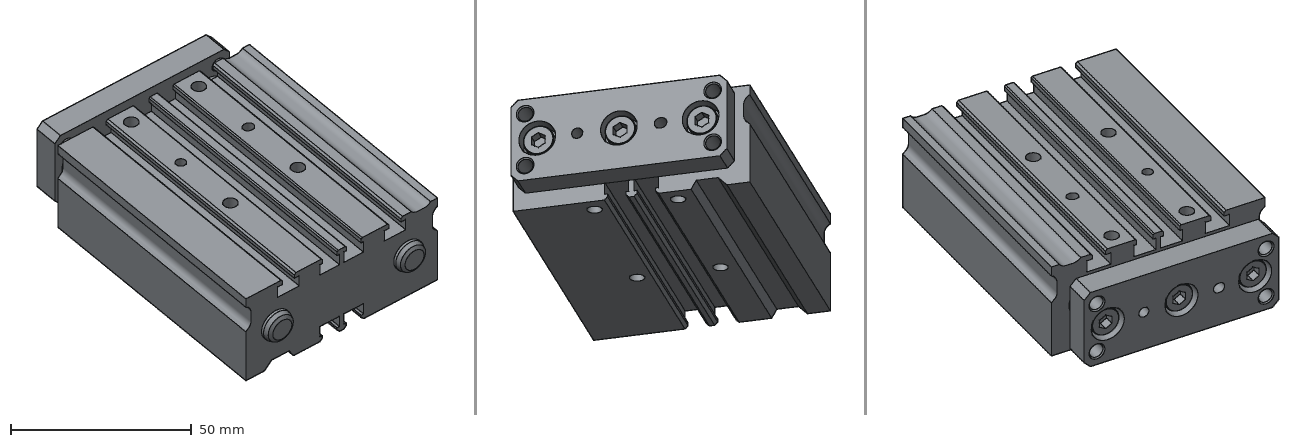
import cadquery as cq
import math


total_length = 99.0
plate_thickness = 7.9
rod_gap = 5.0
rear_stub = 3.0
housing_width = 68.0
housing_height = 30.0
housing_front = plate_thickness + rod_gap
housing_length = total_length - housing_front - rear_stub
housing_top = housing_height / 2
housing_side = housing_width / 2

guide_diameter = 10.0
guide_offset = 23.5
guide_end_flat_radius = 3.4
guide_end_shoulder_radius = 4.5
guide_end_shoulder_inset = 0.7
guide_end_length = 2.1
piston_diameter = 8.0
piston_depth = housing_length / 2
stud_diameter = 5.0
head_diameter = 8.7
head_chamfer = 0.2
head_recess = 1.2
hex_across_flats = 4.0
hex_depth = 3.0

plate_width = 62.0
plate_height = 24.9
plate_chamfer = 2.0
counterbore_diameter = 10.5
counterbore_depth = 5.0
corner_hole_diameter = 4.3
corner_hole_chamfer = 0.4
corner_hole_offset_y = 26.9
corner_hole_offset_z = 8.0

mount_offset = 12.0
pin_diameter = 3.2
pin_slot_extra = 0.4
pin_depth = 4.0
bolt_diameter = 4.3
bolt_inset = 5.0
bolt_pitch = 43.8

slot_depth = 5.5
slot_lip = 1.8
inner_slot_offset = 4.3
inner_slot_opening = 5.2
inner_slot_width = 6.9
inner_slot_chamfer = 0.4
bottom_slot_chamfer = 0.9
outer_slot_offset = 18.9
outer_slot_opening = 4.2
outer_slot_width = 7.6
outer_slot_chamfer = 0.6

side_groove_inset = 3.1
side_groove_depth = 1.8
side_groove_entry = 2.8
side_groove_floor = 3.5
side_groove_exit = 2.0
side_groove_lip_run = 0.8
side_groove_lip_depth = 0.8

top_groove_inset = 2.5
top_groove_depth = 1.1
top_groove_entry = 2.3
top_groove_floor = 2.1
top_groove_exit = 2.2
top_groove_lip_run = 0.3
top_groove_lip_depth = 0.3

bottom_groove_depth = 2.6
bottom_groove_start = -17.1
bottom_groove_end = -27.4
bottom_groove_steep_run = 1.5
bottom_groove_flat_run = 2.6


def x_cylinder(diameter, start, end, y=0.0, z=0.0):
    """Cylinder along X from `start` to `end`."""
    return (
        cq.Workplane("YZ", origin=(start, 0, 0))
        .center(y, z)
        .circle(diameter / 2)
        .extrude(end - start)
    )


def along_housing(outline):
    """Extrude a closed (Y, Z) outline over the housing length."""
    return outline.extrude(housing_length)


def housing_section():
    return cq.Workplane("YZ", origin=(housing_front, 0, 0))


def t_slot(offset, opening, width, chamfer):
    """T-slot cut from the housing top, with chamfered lips."""
    half_section = [
        (opening / 2 + chamfer, housing_top),
        (opening / 2, housing_top - chamfer),
        (opening / 2, housing_top - slot_lip),
        (width / 2, housing_top - slot_lip),
        (width / 2, housing_top - slot_depth),
    ]
    points = [(offset + y, z) for y, z in half_section]
    points += [(offset - y, z) for y, z in reversed(half_section)]
    return along_housing(housing_section().polyline(points).close())


def arc_middle(run, rise):
    """Middle of an arc that leaves the origin flat and ends at (run, rise)."""
    radius = (run**2 + rise**2) / (2 * rise)
    half_angle = math.asin(run / radius) / 2
    return radius * math.sin(half_angle), radius * (1 - math.cos(half_angle))


def rounded_groove(depth, entry, floor, exit_run, lip_run, lip_depth, place):
    """Groove with an arc on both sides of a flat floor and a bevel after the second arc.

    `place` turns (distance along the surface, depth below it) into (Y, Z).
    """
    floor_end = entry + floor
    exit_end = floor_end + exit_run
    entry_run, entry_rise = arc_middle(entry, depth)
    leave_run, leave_rise = arc_middle(exit_run, depth - lip_depth)
    outline = (
        housing_section()
        .moveTo(*place(0, 0))
        .threePointArc(place(entry - entry_run, depth - entry_rise), place(entry, depth))
        .lineTo(*place(floor_end, depth))
        .threePointArc(place(floor_end + leave_run, depth - leave_rise), place(exit_end, lip_depth))
        .lineTo(*place(exit_end + lip_run, 0))
        .close()
    )
    return along_housing(outline)


def side_groove():
    """Groove in the -Y side, running down from the entry arc to the bevel."""
    return rounded_groove(
        side_groove_depth,
        side_groove_entry,
        side_groove_floor,
        side_groove_exit,
        side_groove_lip_run,
        side_groove_lip_depth,
        lambda along, depth: (depth - housing_side, housing_top - side_groove_inset - along),
    )


def top_groove():
    """Groove in the top near the +Y side, running inward from the entry arc to the bevel."""
    return rounded_groove(
        top_groove_depth,
        top_groove_entry,
        top_groove_floor,
        top_groove_exit,
        top_groove_lip_run,
        top_groove_lip_depth,
        lambda along, depth: (housing_side - top_groove_inset - along, housing_top - depth),
    )


def bottom_groove():
    """Tapered groove in the bottom near the -Y side."""
    floor_z = bottom_groove_depth - housing_top
    points = [
        (bottom_groove_start, -housing_top),
        (bottom_groove_start - bottom_groove_steep_run, floor_z),
        (bottom_groove_end + bottom_groove_flat_run, floor_z),
        (bottom_groove_end, -housing_top),
    ]
    return along_housing(housing_section().polyline(points).close())


def mounting_holes():
    """Four bolt holes through the housing and two pin holes in its top."""
    bolt_front = housing_front + bolt_inset
    pin_x = bolt_front + bolt_pitch / 2
    bolts = (
        cq.Workplane("XY", origin=(pin_x, 0, -housing_top))
        .rect(bolt_pitch, 2 * mount_offset, forConstruction=True)
        .vertices()
        .circle(bolt_diameter / 2)
        .extrude(housing_height)
    )
    pin_plane = cq.Workplane("XY", origin=(pin_x, 0, housing_top))
    round_pin = pin_plane.center(0, -mount_offset).circle(pin_diameter / 2).extrude(-pin_depth)
    slotted_pin = (
        pin_plane.center(0, mount_offset)
        .slot2D(pin_diameter + pin_slot_extra, pin_diameter, 90)
        .extrude(-pin_depth)
    )
    return bolts.union(round_pin).union(slotted_pin)


def make_housing():
    body = along_housing(housing_section().rect(housing_width, housing_height))
    for side in (-1, 1):
        inner = side * inner_slot_offset
        body = body.cut(t_slot(inner, inner_slot_opening, inner_slot_width, inner_slot_chamfer))
        bottom_slot = t_slot(inner, inner_slot_opening, inner_slot_width, bottom_slot_chamfer)
        body = body.cut(bottom_slot.mirror("XY"))
        outer = side * outer_slot_offset
        body = body.cut(t_slot(outer, outer_slot_opening, outer_slot_width, outer_slot_chamfer))
        guide_bore = x_cylinder(guide_diameter, housing_front, total_length, side * guide_offset)
        body = body.cut(guide_bore)
    body = body.cut(side_groove()).cut(side_groove().mirror("XZ"))
    body = body.cut(top_groove()).cut(bottom_groove()).cut(mounting_holes())
    return body.cut(x_cylinder(piston_diameter, housing_front, housing_front + piston_depth))


def corner_hole(y, z):
    """Through hole with a chamfered mouth on the plate front."""
    hole_radius = corner_hole_diameter / 2
    mouth = cq.Solid.makeCone(
        hole_radius + corner_hole_chamfer,
        hole_radius,
        corner_hole_chamfer,
        pnt=cq.Vector(0, y, z),
        dir=cq.Vector(1, 0, 0),
    )
    return x_cylinder(corner_hole_diameter, 0, plate_thickness, y, z).union(mouth)


def make_plate():
    """Tool plate with counterbored screw holes, pin holes and corner holes."""
    plate = (
        cq.Workplane("YZ")
        .rect(plate_width, plate_height)
        .extrude(plate_thickness)
        .edges("|X")
        .chamfer(plate_chamfer)
    )
    for y in (-guide_offset, 0, guide_offset):
        plate = plate.cut(x_cylinder(counterbore_diameter, 0, counterbore_depth, y))
        plate = plate.cut(x_cylinder(stud_diameter, 0, plate_thickness, y))
    for y in (-corner_hole_offset_y, corner_hole_offset_y):
        for z in (-corner_hole_offset_z, corner_hole_offset_z):
            plate = plate.cut(corner_hole(y, z))
    round_pin = x_cylinder(pin_diameter, 0, plate_thickness, mount_offset)
    slotted_pin = (
        cq.Workplane("YZ")
        .center(-mount_offset, 0)
        .slot2D(pin_diameter + pin_slot_extra, pin_diameter)
        .extrude(plate_thickness)
    )
    return plate.cut(round_pin).cut(slotted_pin)


def screw_end():
    """Screw head in the plate counterbore and the stud behind it, on the X axis."""
    head = x_cylinder(head_diameter, head_recess, counterbore_depth).faces("<X").chamfer(head_chamfer)
    socket = (
        cq.Workplane("YZ", origin=(head_recess, 0, 0))
        .polygon(6, hex_across_flats, circumscribed=True)
        .extrude(hex_depth)
    )
    stud = x_cylinder(stud_diameter, counterbore_depth, plate_thickness)
    return head.cut(socket).union(stud)


def make_piston_rod():
    return x_cylinder(piston_diameter, plate_thickness, housing_front + piston_depth).union(screw_end())


def make_guide_rod(y):
    """Guide rod through the housing, tapered in two steps at its rear end."""
    radius = guide_diameter / 2
    profile = [
        (plate_thickness, 0),
        (plate_thickness, radius),
        (total_length - guide_end_length, radius),
        (total_length - guide_end_shoulder_inset, guide_end_shoulder_radius),
        (total_length, guide_end_flat_radius),
        (total_length, 0),
    ]
    shaft = cq.Workplane("XZ").polyline(profile).close().revolve(360, (0, 0, 0), (1, 0, 0))
    return shaft.union(screw_end()).translate((0, y, 0))


housing = make_housing()
plate = make_plate()
piston_rod = make_piston_rod()
guide_rods = [make_guide_rod(side * guide_offset) for side in (-1, 1)]

result = cq.Compound.makeCompound(
    [housing.val(), plate.val(), piston_rod.val(), *[rod.val() for rod in guide_rods]]
)